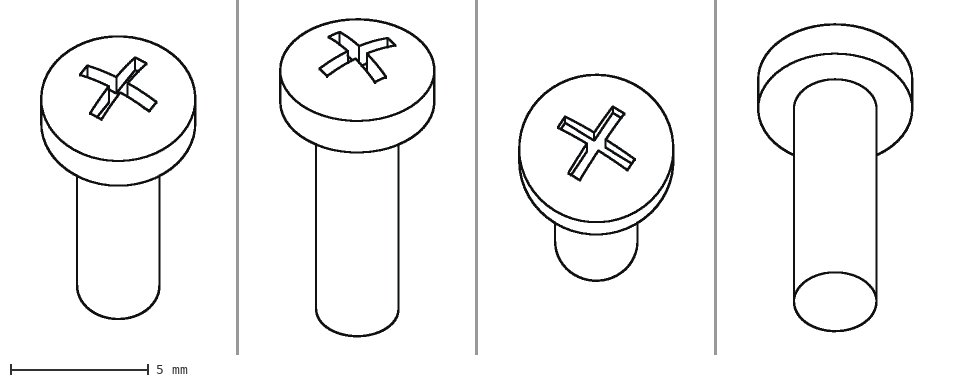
import cadquery as cq
import math

total_height = 12.39
shank_diameter = 3.0
shank_length = 10.01
head_diameter = 5.6
head_side_height = 1.52
recess_span = 3.0
recess_width = 0.5
recess_depth = 1.0

head_radius = head_diameter / 2
dome_base_z = shank_length + head_side_height
dome_rise_at_corner = total_height - dome_base_z
corner_radius = recess_width / math.sqrt(2)
sphere_center_drop = (
    head_radius**2 - corner_radius**2 - dome_rise_at_corner**2
) / (2 * dome_rise_at_corner)
dome_radius = math.hypot(head_radius, sphere_center_drop)
apex_z = dome_base_z - sphere_center_drop + dome_radius


def make_shank():
    return cq.Workplane("XY").circle(shank_diameter / 2).extrude(shank_length)


def make_head():
    """Pan head: a straight side closed by a spherical dome."""
    mid_angle = math.asin(head_radius / dome_radius) / 2
    dome_mid_point = (
        dome_radius * math.sin(mid_angle),
        apex_z - dome_radius * (1 - math.cos(mid_angle)),
    )
    return (
        cq.Workplane("XZ")
        .moveTo(0, shank_length)
        .lineTo(head_radius, shank_length)
        .lineTo(head_radius, dome_base_z)
        .threePointArc(dome_mid_point, (0, apex_z))
        .close()
        .revolve(360, (0, 0), (0, 1))
    )


def make_cross_recess():
    """Two crossing flat-floored slots, open above the dome."""
    floor_z = total_height - recess_depth
    cut_height = apex_z - floor_z
    floor_plane = cq.Workplane("XY").workplane(offset=floor_z)
    arm_x = floor_plane.rect(recess_span, recess_width).extrude(cut_height)
    arm_y = floor_plane.rect(recess_width, recess_span).extrude(cut_height)
    return arm_x.union(arm_y)


result = make_shank().union(make_head()).cut(make_cross_recess())